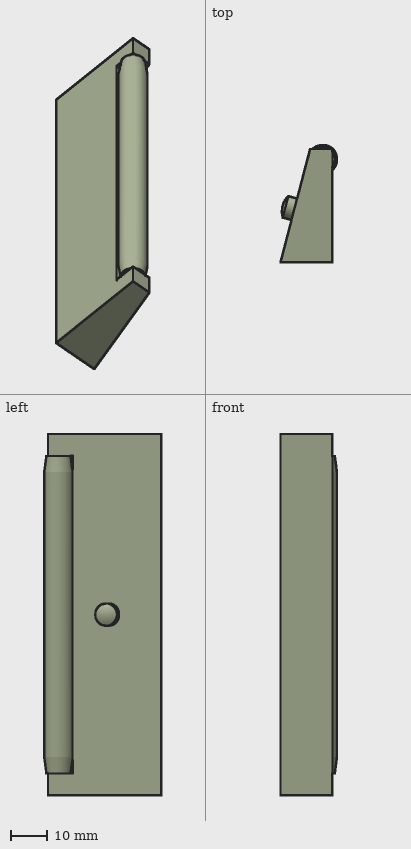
import cadquery as cq
import math

height = 100.0
base_width = 14.4
tip_width = 6.2
depth = 31.4

roller_radius = 4.0
roller_x = 11.7
roller_y = 28.5
roller_end_radius = 3.4
taper_length = 4.5

end_wall = 6.1
wall_overlap = 0.1

button_radius = 3.1
button_side = 2.5
dome_height = 0.9
button_y = 14.7

slope_run = base_width - tip_width
slope_angle = math.atan2(slope_run, depth)
notch_y = roller_y - roller_radius + wall_overlap


def make_body():
    body = (
        cq.Workplane("XY")
        .polyline([(0, 0), (base_width, 0), (base_width, depth), (slope_run, depth)])
        .close()
        .extrude(height)
    )
    notch = cq.Workplane("XY").box(
        base_width, depth - notch_y, height - 2 * end_wall, centered=False
    )
    return body.cut(notch.translate((0, notch_y, end_wall)))


def make_roller():
    top = height - end_wall
    return (
        cq.Workplane("XZ")
        .moveTo(0, end_wall)
        .lineTo(roller_end_radius, end_wall)
        .lineTo(roller_radius, end_wall + taper_length)
        .lineTo(roller_radius, top - taper_length)
        .lineTo(roller_end_radius, top)
        .lineTo(0, top)
        .close()
        .revolve(360, (0, 0), (0, 1))
        .translate((roller_x, roller_y, 0))
    )


def make_button():
    dome_radius = (button_radius**2 + dome_height**2) / (2 * dome_height)
    mid_angle = math.asin(button_radius / dome_radius) / 2
    apex = button_side + dome_height
    dome_mid = (
        dome_radius * math.sin(mid_angle),
        apex - dome_radius * (1 - math.cos(mid_angle)),
    )
    upright = (
        cq.Workplane("XZ")
        .lineTo(button_radius, 0)
        .lineTo(button_radius, button_side)
        .threePointArc(dome_mid, (0, apex))
        .close()
        .revolve(360, (0, 0), (0, 1))
    )
    return (
        upright.rotate((0, 0, 0), (0, 1, 0), -90)
        .rotate((0, 0, 0), (0, 0, 1), -math.degrees(slope_angle))
        .translate((button_y * math.tan(slope_angle), button_y, height / 2))
    )


result = make_body().union(make_roller()).union(make_button())